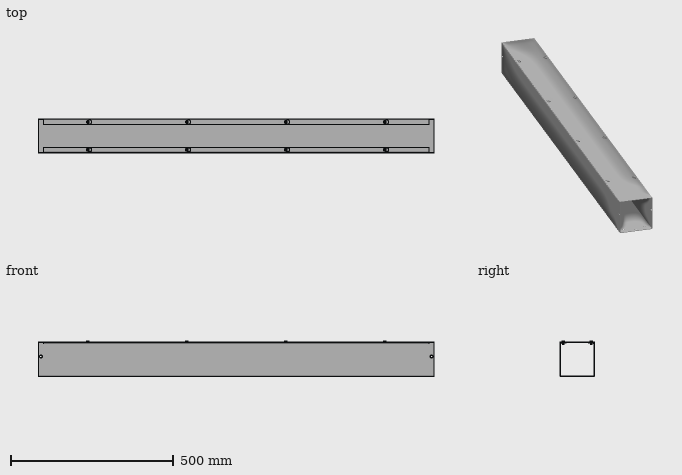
import cadquery as cq

length = 1219.0
width = 105.0
overall_height = 110.0
sheet = 1.6

housing_height = 105.0
bend_radius = 2.0
flange_width = 17.0
flange_end_gap = 16.0

end_hole_dia = 7.9
end_hole_inset = 7.9
wall_hole_height = 62.0
floor_hole_dia = 6.3
floor_hole_inset = 22.0
floor_hole_offset = 34.0

cover_end_gap = 0.6
cover_length = length - 2 * cover_end_gap
cover_top = housing_height + sheet
keyhole_dia = 12.0
keyhole_shift = 6.0
slot_width = 5.0

screws_per_row = 4
screw_pitch = length / screws_per_row
screw_offset = 43.0
head_dia = 7.9
head_height = overall_height - cover_top
socket_dia = 4.1
socket_depth = head_height / 2
shank_dia = 4.6
shank_length = 7.8
tip_dia = 4.1
tip_taper = 1.0

screw_spots = [
    ((i + 0.5) * screw_pitch, side * screw_offset)
    for i in range(screws_per_row)
    for side in (-1, 1)
]


def box(x_start, x_size, y_size, z_start, z_size):
    """Box centred on Y, placed by its start along X and Z."""
    block = cq.Workplane("XY").box(x_size, y_size, z_size, centered=(False, True, False))
    return block.translate((x_start, 0, z_start))


def vertical_cylinder(x, y, dia, z_start, height):
    return cq.Workplane("XY", origin=(x, y, z_start)).circle(dia / 2).extrude(height)


def make_channel(x_start, x_size, bent_edges, opening_width):
    """Sheet channel with rounded bends at the chosen edges and an opening in its top."""
    inner_width = width - 2 * sheet
    inner_height = housing_height - 2 * sheet
    outer = box(x_start, x_size, width, 0, housing_height)
    outer = outer.edges(bent_edges).fillet(bend_radius)
    inner = box(x_start, x_size, inner_width, sheet, inner_height)
    inner = inner.edges(bent_edges).fillet(bend_radius - sheet)
    opening = box(x_start, x_size, opening_width, housing_height - sheet, sheet)
    return outer.cut(inner).cut(opening)


def make_housing_shell():
    """Flanged channel between two short end stretches that have straight walls and no flanges."""
    flanged_length = length - 2 * flange_end_gap
    shell = make_channel(flange_end_gap, flanged_length, "|X", width - 2 * flange_width)
    for x_start in (0, length - flange_end_gap):
        end = make_channel(x_start, flange_end_gap, "|X and <Z", width - 2 * sheet)
        shell = shell.union(end)
    return shell


def cut_end_holes(body):
    """One hole through each wall, one in the floor's middle and two beside it, at each end."""
    for x in (end_hole_inset, length - end_hole_inset):
        wall_drill = (
            cq.Workplane("XZ", origin=(x, width / 2, wall_hole_height))
            .circle(end_hole_dia / 2)
            .extrude(width)
        )
        body = body.cut(wall_drill)
        body = body.cut(vertical_cylinder(x, 0, end_hole_dia, 0, sheet))
    for x in (floor_hole_inset, length - floor_hole_inset):
        for y in (-floor_hole_offset, floor_hole_offset):
            body = body.cut(vertical_cylinder(x, y, floor_hole_dia, 0, sheet))
    return body


def cut_flange_holes(body):
    """Holes that fit the screw shanks."""
    for x, y in screw_spots:
        body = body.cut(vertical_cylinder(x, y, shank_dia, housing_height - sheet, sheet))
    return body


def make_keyhole(x, y):
    """Narrow slot ending round the screw shank, opening toward +X into a wide hole."""
    narrow_end = vertical_cylinder(x, y, slot_width, housing_height, sheet)
    neck = box(x, keyhole_shift, slot_width, housing_height, sheet).translate((0, y, 0))
    wide_hole = vertical_cylinder(x + keyhole_shift, y, keyhole_dia, housing_height, sheet)
    return narrow_end.union(neck).union(wide_hole)


def make_cover():
    plate = box(cover_end_gap, cover_length, width, housing_height, sheet)
    for x, y in screw_spots:
        plate = plate.cut(make_keyhole(x, y))
    return plate


def make_screw(x, y):
    """Round head with a blind round socket, over a shank with a tapered tip."""
    tip_z = cover_top - shank_length
    taper_top = tip_z + tip_taper
    tip = (
        cq.Workplane("XY", origin=(x, y, tip_z))
        .circle(tip_dia / 2)
        .workplane(offset=tip_taper)
        .circle(shank_dia / 2)
        .loft()
    )
    shank = vertical_cylinder(x, y, shank_dia, taper_top, cover_top - taper_top)
    head = vertical_cylinder(x, y, head_dia, cover_top, head_height)
    socket = vertical_cylinder(x, y, socket_dia, overall_height - socket_depth, socket_depth)
    return tip.union(shank).union(head).cut(socket)


housing = cut_flange_holes(cut_end_holes(make_housing_shell()))
cover = make_cover()
screws = [make_screw(x, y) for x, y in screw_spots]

result = cq.Compound.makeCompound(
    [housing.solids().val(), cover.solids().val(), *[screw.solids().val() for screw in screws]]
)